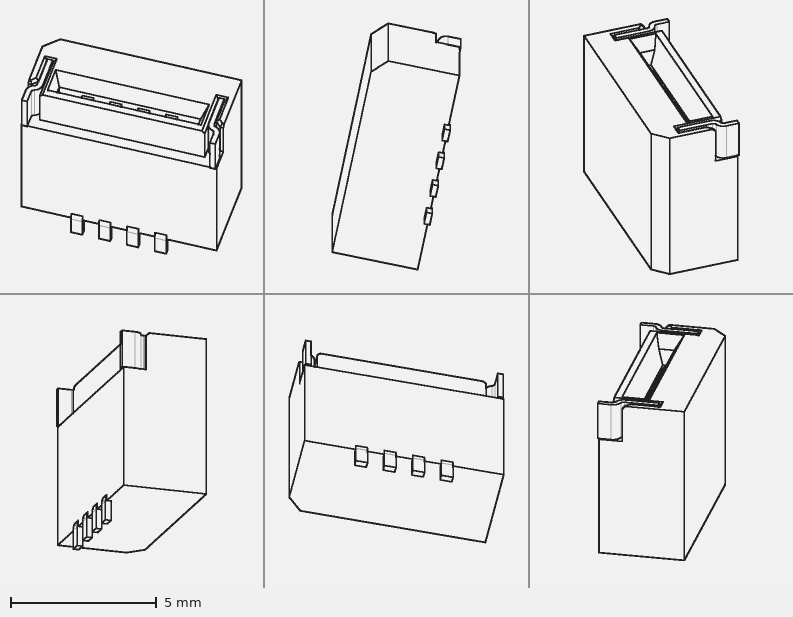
import cadquery as cq
import math

width = 7.0
depth = 3.0
height = 5.6
corner_chamfer = 0.5

half_width = width / 2

step_depth = 1.33
step_z = height - step_depth
step_setback = 0.39

clip_thickness = 0.195
clip_front_inset = 0.03
clip_offset = 0.3
clip_back_inset = clip_front_inset + clip_offset
clip_proud = 0.05
clip_back_y = 2.01
clip_bend_y = 0.615
clip_inner_radius = 0.11
clip_gap = 0.02

slot_clearance = 0.015
slot_side_y = 0.82
slot_bevel_x = 0.11
slot_corner_y = 1.035
lead_in_width = 0.105
lead_in_depth = 0.105

cavity_end_margin = 0.75
mouth_front_y = 0.65
mouth_back_y = 1.62
mouth_depth = 0.505
throat_end_margin = 0.965
throat_back_y = 1.315
cavity_depth = 1.1
floor_front_y = 0.91

contact_count = 4
contact_pitch = 1.0
contact_width = 0.41
contact_top_depth = 0.665
contact_lip_run = 0.09
contact_lip_drop = 0.055
contact_shoulder_run = 0.105
contact_shoulder_drop = 0.105
pin_thickness = 0.2
pin_proud = 0.05
pin_length = 0.7
pin_bend_radius = 0.5


def prism_yz(profile, x_start, x_length):
    """Extrude a closed YZ profile along +X."""
    return profile.close().extrude(x_length).translate((x_start, 0, 0))


def make_housing():
    block = cq.Workplane("XY").box(width, depth, height, centered=(True, False, False))
    return block.edges("|Z and <X and >Y").chamfer(corner_chamfer)


def slot_outline(z, grow):
    """Left slot outline at height z, with its walls moved outwards by grow."""
    end_x = -half_width
    wall_inset = clip_back_inset - slot_clearance
    outer_x = end_x + wall_inset - grow
    inner_x = end_x + clip_back_inset + clip_thickness + slot_clearance + grow
    bevel_rise = slot_corner_y - slot_side_y
    bevel_run = wall_inset - slot_bevel_x
    bevel_length = math.hypot(bevel_rise, bevel_run)
    slope = bevel_rise / bevel_run
    side_y = slot_side_y + grow
    bevel_shift = grow * bevel_length / bevel_run
    corner_y = slot_corner_y + bevel_shift - slope * grow
    bevel_x = end_x + slot_bevel_x + (grow - bevel_shift) / slope
    return (
        cq.Workplane("XY", origin=(0, 0, z))
        .moveTo(end_x - grow, step_setback)
        .lineTo(inner_x, step_setback)
        .lineTo(inner_x, clip_back_y + grow)
        .lineTo(outer_x, clip_back_y + grow)
        .lineTo(outer_x, corner_y)
        .lineTo(bevel_x, side_y)
        .lineTo(end_x - grow, side_y)
        .close()
    )


def make_slot():
    straight = slot_outline(step_z, 0).extrude(step_depth)
    lower = slot_outline(height - lead_in_depth, 0).wires().val()
    upper = slot_outline(height, lead_in_width).wires().val()
    lead_in = cq.Workplane(obj=cq.Solid.makeLoft([lower, upper], True))
    return straight.union(lead_in)


def make_clip():
    """Left clip: a strip with an S-bend, its front leg set towards the end face."""
    mid_radius = clip_inner_radius + clip_thickness / 2
    outer_radius = clip_inner_radius + clip_thickness
    angle = math.acos(1 - clip_offset / (2 * mid_radius))
    bend_front_y = clip_bend_y - mid_radius * math.sin(angle)
    bend_back_y = clip_bend_y + mid_radius * math.sin(angle)
    front_x = -half_width + clip_front_inset
    back_x = -half_width + clip_back_inset
    rear_center = (back_x - clip_inner_radius, bend_back_y)
    front_center = (front_x + outer_radius, bend_front_y)

    def on_rear(radius, turn):
        return (rear_center[0] + radius * math.cos(turn), rear_center[1] - radius * math.sin(turn))

    def on_front(radius, turn):
        return (front_center[0] - radius * math.cos(turn), front_center[1] + radius * math.sin(turn))

    profile = (
        cq.Workplane("XY", origin=(0, 0, step_z + clip_gap))
        .moveTo(back_x, clip_back_y)
        .lineTo(*on_rear(clip_inner_radius, 0))
        .threePointArc(on_rear(clip_inner_radius, angle / 2), on_rear(clip_inner_radius, angle))
        .threePointArc(on_front(outer_radius, angle / 2), on_front(outer_radius, 0))
        .lineTo(front_x, -clip_proud)
        .lineTo(front_x + clip_thickness, -clip_proud)
        .lineTo(*on_front(clip_inner_radius, 0))
        .threePointArc(on_front(clip_inner_radius, angle / 2), on_front(clip_inner_radius, angle))
        .threePointArc(on_rear(outer_radius, angle / 2), on_rear(outer_radius, 0))
        .lineTo(back_x + clip_thickness, clip_back_y)
        .close()
    )
    return profile.extrude(step_depth - clip_gap)


def make_cavity():
    """Sloping front wall all the way down; back and ends slope only through the mouth."""
    side = (
        cq.Workplane("YZ")
        .moveTo(mouth_front_y, height)
        .lineTo(mouth_back_y, height)
        .lineTo(throat_back_y, height - mouth_depth)
        .lineTo(throat_back_y, height - cavity_depth)
        .lineTo(floor_front_y, height - cavity_depth)
    )
    mouth_half = half_width - cavity_end_margin
    throat_half = half_width - throat_end_margin
    ends = (
        cq.Workplane("XZ")
        .moveTo(-mouth_half, height)
        .lineTo(mouth_half, height)
        .lineTo(throat_half, height - mouth_depth)
        .lineTo(throat_half, height - cavity_depth)
        .lineTo(-throat_half, height - cavity_depth)
        .lineTo(-throat_half, height - mouth_depth)
        .close()
        .extrude(-depth)
    )
    return prism_yz(side, -half_width, width).intersect(ends)


def make_contact(center_x):
    """Ramp from the cavity's back wall down to the front of its floor, with a rounded shoulder."""
    top_z = height - contact_top_depth
    floor_z = height - cavity_depth
    lip_y = throat_back_y - contact_lip_run
    lip_z = top_z - contact_lip_drop
    profile = (
        cq.Workplane("YZ")
        .moveTo(throat_back_y, floor_z)
        .lineTo(throat_back_y, top_z)
        .lineTo(lip_y, lip_z)
        .tangentArcPoint((-contact_shoulder_run, -contact_shoulder_drop))
        .lineTo(floor_front_y, floor_z)
    )
    return prism_yz(profile, center_x - contact_width / 2, contact_width)


def make_pin(center_x):
    """Straight leg below the housing, bending back into its front face."""
    leg = cq.Workplane("XY").box(contact_width, pin_thickness, pin_length, centered=(True, False, False))
    leg = leg.translate((center_x, -pin_proud, -pin_length))
    bend = (
        cq.Workplane("YZ")
        .moveTo(-pin_proud, 0)
        .radiusArc((pin_bend_radius - pin_proud, pin_bend_radius), pin_bend_radius)
        .lineTo(pin_bend_radius - pin_proud, 0)
    )
    return leg.union(prism_yz(bend, center_x - contact_width / 2, contact_width))


step = cq.Workplane("XY").box(width, step_setback, step_depth, centered=(True, False, False))
slot = make_slot()
clip = make_clip()

result = make_housing().cut(step.translate((0, 0, step_z))).cut(make_cavity())
result = result.cut(slot).cut(slot.mirror("YZ"))
result = result.union(clip).union(clip.mirror("YZ"))
for index in range(contact_count):
    contact_x = (index - (contact_count - 1) / 2) * contact_pitch
    result = result.union(make_contact(contact_x)).union(make_pin(contact_x))